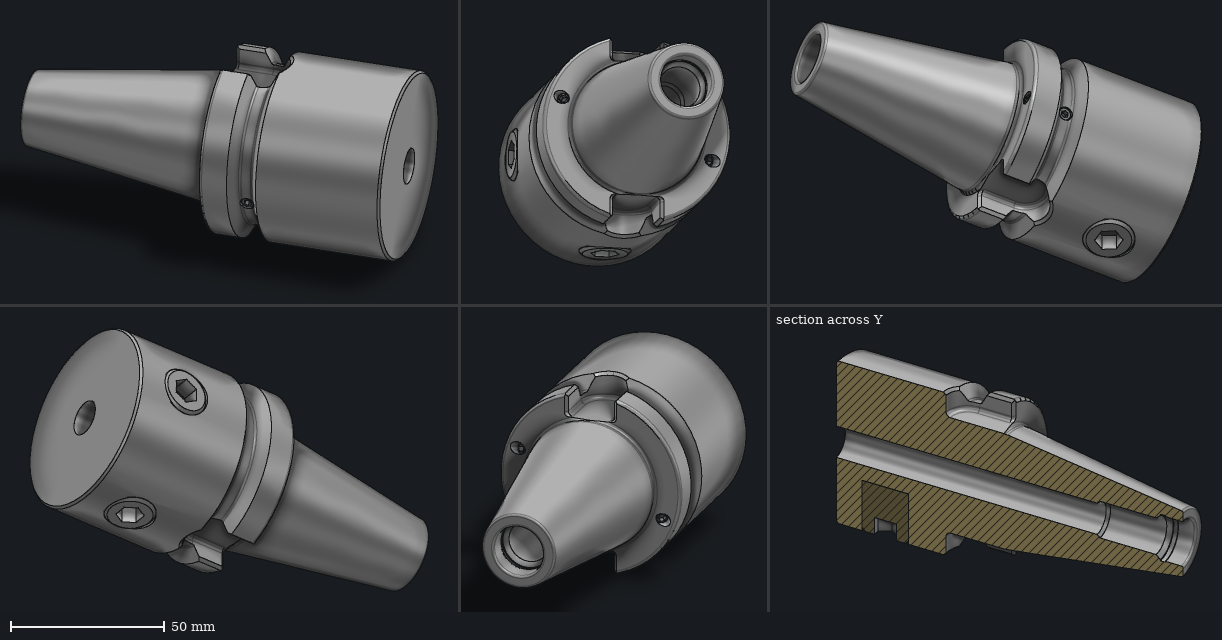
import cadquery as cq
import math

total_length = 129.4
body_radius = 31.51
head_end_chamfer = 0.8

taper_length = 65.3
taper_large_radius = 22.3
taper_slope = 7 / 48
taper_end_fillet = 0.8
neck_fillet = 1.0

flange_start = 67.4
flange_end = 77.0
flange_fillet = 1.0
groove_radius = 26.5
groove_end = 87.0
groove_flank_angle = 30.0
groove_fillet = 0.9

keyway_width = 16.0
keyway_floor = 22.4
keyway_center_x = 80.4
keyway_fillet = 1.5
keyway_chamfer = 1.0

pilot_radius = 8.5
pilot_depth = 6.7
relief_radius = 8.9
relief_end = 8.5
thread_radius = 7.0
thread_end = 31.0
through_radius = 6.0
through_chamfer = thread_radius - through_radius

clamp_x = 111.2
clamp_radius = 8.5
clamp_length = 19.4
clamp_chamfer = 1.0
clamp_hex = 8.0
clamp_hex_depth = 6.5

plug_angle = 20.0
face_plug_radius = 2.1
face_plug_offset = 27.0
face_plug_tilt = 35.0
face_plug_recess = 1.5
face_plug_length = 5.2
face_plug_hex = 2.5
face_plug_hex_depth = 2.0
plug_chamfer = 0.3
groove_plug_radius = 2.3
groove_plug_recess = 0.5
groove_plug_length = 5.2
groove_plug_hex = 2.2
groove_plug_hex_depth = 2.0

taper_small_radius = taper_large_radius - taper_length * taper_slope
groove_flank_run = (body_radius - groove_radius) * math.tan(math.radians(groove_flank_angle))
groove_middle_x = (flange_end + groove_end) / 2
overshoot = 1.3


def along(origin, direction):
    """Workplane at origin whose normal points along direction."""
    return cq.Workplane(cq.Plane(origin=origin, normal=direction))


def turned(x, radial, angle):
    """Vector with axial part x and radial part at an angle from +Y towards +Z."""
    turn = math.radians(angle)
    return (x, radial * math.cos(turn), radial * math.sin(turn))


def shifted(point, direction, distance):
    """Point moved by a distance along a unit direction."""
    return tuple(p + d * distance for p, d in zip(point, direction))


def socket_screw(top, inward, radius, length, hex_size, hex_depth, rim_chamfer):
    """Headless screw from its top point inward, with a hexagon socket in the top."""
    hex_corner_diameter = hex_size / math.cos(math.radians(30))
    top_face = cq.selectors.NearestToPointSelector(top)
    screw = along(top, inward).circle(radius).extrude(length).faces(top_face).chamfer(rim_chamfer)
    socket = along(top, inward).polygon(6, hex_corner_diameter).extrude(hex_depth)
    return screw.cut(socket)


def screw_hole(top, inward, radius, length, mouth_length):
    """Blind hole that fits a screw and stays open for mouth_length above it."""
    return along(shifted(top, inward, -mouth_length), inward).circle(radius).extrude(length + mouth_length)


def revolved_holder():
    """Solid of revolution with the taper, neck, flange, V-groove and head."""
    profile = (
        cq.Workplane("XZ")
        .moveTo(0, 0)
        .lineTo(0, taper_small_radius)
        .lineTo(taper_length, taper_large_radius)
        .lineTo(flange_start - neck_fillet, taper_large_radius)
        .radiusArc((flange_start, taper_large_radius + neck_fillet), -neck_fillet)
        .lineTo(flange_start, body_radius - flange_fillet)
        .radiusArc((flange_start + flange_fillet, body_radius), flange_fillet)
        .lineTo(flange_end, body_radius)
        .lineTo(flange_end + groove_flank_run, groove_radius)
        .lineTo(groove_end - groove_flank_run, groove_radius)
        .lineTo(groove_end, body_radius)
        .lineTo(total_length - head_end_chamfer, body_radius)
        .lineTo(total_length, body_radius - head_end_chamfer)
        .lineTo(total_length, 0)
        .close()
    )
    blank = profile.revolve(360, (0, 0, 0), (1, 0, 0))
    in_groove = cq.selectors.BoxSelector(
        (flange_end + overshoot, -body_radius, -body_radius),
        (groove_end - overshoot, body_radius, body_radius),
    )
    return blank.edges(in_groove).edges("%CIRCLE").fillet(groove_fillet)


def central_bore():
    """Bore core: pilot, relief groove, cone to the thread diameter, cone to the through hole."""
    return (
        cq.Workplane("XZ")
        .moveTo(0, 0)
        .lineTo(0, pilot_radius)
        .lineTo(pilot_depth, pilot_radius)
        .lineTo(pilot_depth, relief_radius)
        .lineTo(relief_end, relief_radius)
        .lineTo(relief_end, pilot_radius)
        .lineTo(relief_end + pilot_radius - thread_radius, thread_radius)
        .lineTo(thread_end, thread_radius)
        .lineTo(thread_end + through_chamfer, through_radius)
        .lineTo(total_length, through_radius)
        .lineTo(total_length, 0)
        .close()
        .revolve(360, (0, 0, 0), (1, 0, 0))
    )


def keyway_cutter():
    """Round-ended slot above the +Z floor, open towards the shank."""
    height = body_radius + overshoot - keyway_floor
    start = flange_start - keyway_width
    slot = (
        cq.Workplane("XY", origin=(0, 0, keyway_floor))
        .moveTo(start, -keyway_width / 2)
        .lineTo(keyway_center_x, -keyway_width / 2)
        .threePointArc((keyway_center_x + keyway_width / 2, 0), (keyway_center_x, keyway_width / 2))
        .lineTo(start, keyway_width / 2)
        .close()
        .extrude(height)
    )
    return slot.faces("<Z").edges("not <X").fillet(keyway_fillet)


def keyway_section(x, half_width):
    """Wire across the keyway at x, with the floor fillets and an open height above the flange."""
    top = body_radius + overshoot
    corner = keyway_fillet * (1 - math.sin(math.radians(45)))
    floor_end = half_width - keyway_fillet
    wall_end = keyway_floor + keyway_fillet
    return (
        cq.Workplane("YZ", origin=(x, 0, 0))
        .moveTo(-half_width, top)
        .lineTo(-half_width, wall_end)
        .threePointArc((-half_width + corner, keyway_floor + corner), (-floor_end, keyway_floor))
        .lineTo(floor_end, keyway_floor)
        .threePointArc((half_width - corner, keyway_floor + corner), (half_width, wall_end))
        .lineTo(half_width, top)
        .close()
        .val()
    )


def keyway_mouth_cutter():
    """Tapered cutter that chamfers the keyway walls where they meet the flange face."""
    wide = keyway_section(flange_start, keyway_width / 2 + keyway_chamfer)
    narrow = keyway_section(flange_start + keyway_chamfer, keyway_width / 2)
    return cq.Workplane(cq.Solid.makeLoft([wide, narrow], True))


def keyway_rim_cutter():
    """Flared prism that chamfers the keyway walls where they meet the flange rim."""
    inner = keyway_width / 2
    outer = inner + keyway_chamfer
    rim_height = math.sqrt(body_radius**2 - outer**2)
    top = body_radius + overshoot
    return (
        cq.Workplane("YZ", origin=(flange_start, 0, 0))
        .polyline(
            [
                (-inner, rim_height - keyway_chamfer),
                (-outer, rim_height),
                (-outer, top),
                (outer, top),
                (outer, rim_height),
                (inner, rim_height - keyway_chamfer),
            ]
        )
        .close()
        .extrude(groove_middle_x - flange_start)
    )


def cut_keyways(blank):
    """Two opposite keyways with chamfered mouths and rims."""
    for cutter in (keyway_cutter(), keyway_mouth_cutter(), keyway_rim_cutter()):
        blank = blank.cut(cutter).cut(cutter.rotate((0, 0, 0), (1, 0, 0), 180))
    for side in (1, -1):
        head_rim = cq.selectors.BoxSelector(
            (groove_end, -keyway_width / 2, side * (body_radius - overshoot)),
            (keyway_center_x + keyway_width / 2, keyway_width / 2, side * (body_radius + overshoot)),
        )
        blank = blank.edges(head_rim).chamfer(keyway_chamfer)
    return blank


holder = revolved_holder().cut(central_bore())
holder = holder.faces("<X").edges().fillet(taper_end_fillet)
holder = cut_keyways(holder)


def clamp_screw_and_hole(angle):
    """Clamping screw at an angle from +Y, and the hole it fills."""
    top = turned(clamp_x, body_radius, angle)
    inward = turned(0, -1, angle)
    screw = socket_screw(
        top, inward, clamp_radius, clamp_length, clamp_hex, clamp_hex_depth, clamp_chamfer
    )
    return screw, screw_hole(top, inward, clamp_radius, clamp_length, overshoot)


clamp_screws = []
for angle in (0, -90):
    screw, hole = clamp_screw_and_hole(angle)
    clamp_screws.append(screw)
    holder = holder.cut(hole)


def face_plug_and_hole(angle):
    """Plug recessed below the flange face, and its tilted hole."""
    mouth = turned(flange_start, face_plug_offset, angle)
    tilt = math.radians(face_plug_tilt)
    inward = turned(math.cos(tilt), -math.sin(tilt), angle)
    top = shifted(mouth, inward, face_plug_recess)
    plug = socket_screw(
        top, inward, face_plug_radius, face_plug_length, face_plug_hex, face_plug_hex_depth, plug_chamfer
    )
    mouth_length = face_plug_recess + 2 * overshoot
    return plug, screw_hole(top, inward, face_plug_radius, face_plug_length, mouth_length)


face_plugs = []
for angle in (plug_angle, plug_angle + 180):
    plug, hole = face_plug_and_hole(angle)
    face_plugs.append(plug)
    holder = holder.cut(hole)


def groove_plug_and_hole(angle):
    """Plug recessed below the groove floor, and its radial hole."""
    top = turned(groove_middle_x, groove_radius - groove_plug_recess, angle)
    inward = turned(0, -1, angle)
    plug = socket_screw(
        top,
        inward,
        groove_plug_radius,
        groove_plug_length,
        groove_plug_hex,
        groove_plug_hex_depth,
        plug_chamfer,
    )
    mouth_length = groove_plug_recess + overshoot
    return plug, screw_hole(top, inward, groove_plug_radius, groove_plug_length, mouth_length)


groove_plug, groove_plug_hole = groove_plug_and_hole(plug_angle + 180)
holder = holder.cut(groove_plug_hole)

result = cq.Compound.makeCompound(
    [
        holder.val(),
        *[screw.val() for screw in clamp_screws],
        *[plug.val() for plug in face_plugs],
        groove_plug.val(),
    ]
)